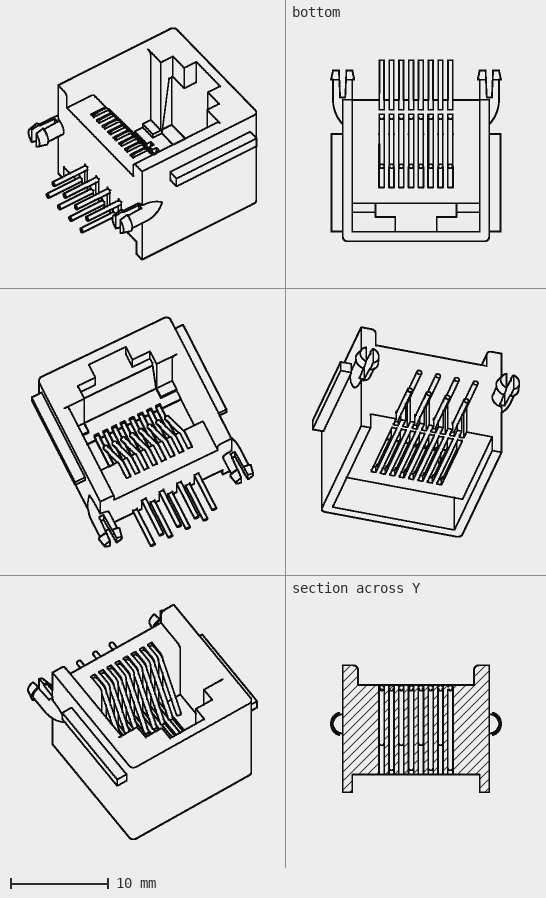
import cadquery as cq
import math


OVERALL_LENGTH = 18.57

WIDTH = 15.0
DEPTH = 14.5
HEIGHT = 13.0
BACK_CORNER_RADIUS = 0.5

CAVITY_WIDTH = 11.85
CAVITY_FRONT_Y = 3.51
CAVITY_BACK_Y = 10.47
CAVITY_LIP_RADIUS = 0.5
LEDGE_Z = 11.0
LEDGE_RADIUS = 0.48
FRONT_FLOOR_Z = 2.25
FLOOR_STEP_Y = 8.47
REAR_FLOOR_Z = 2.5
SHOULDER_Y = 9.47
SHOULDER_Z = 3.0

LATCH_WIDTH = 8.25
LATCH_BACK_Y = 11.98
TAB_WIDTH = 4.23
TAB_BACK_Y = 13.5
CATCH_HEIGHT = 3.0
CATCH_BOTTOM_Z = HEIGHT - CATCH_HEIGHT
LATCH_SPACE_WIDTH = 13.0
SPACE_TOP_Y = 11.5
FLOOR_BACK_Y = 10.6

RECESS_WIDTH = LATCH_SPACE_WIDTH
RECESS_HEIGHT = 1.8

RAIL_SIZE = 1.15
RAIL_LENGTH = 10.0
RAIL_TOP_GAP = 2.14
RAIL_BACK_GAP = 1.0

PEG_Z = 7.0
PEG_RADIUS = 1.0
PEG_LENGTH = 3.0
BARB_RADIUS = 1.2
BARB_START = 2.06
OGIVE_LENGTH = 2.5
PEG_SLIT_START = 0.25
PEG_SLIT_BASE_WIDTH = 0.5
PEG_SLIT_MOUTH_WIDTH = 0.75

CONTACT_COUNT = 8
CONTACT_PITCH = 1.0
WIRE_DIAMETER = 0.5
WIRE_RADIUS = WIRE_DIAMETER / 2
TAIL_LENGTH = OVERALL_LENGTH - DEPTH
LOWER_TAIL_Z = 2.49
UPPER_TAIL_Z = 5.05
COMB_FRONT_Y = 1.49
COMB_BACK_Y = 8.97
ENTRY_DEPTH = 1.0
ENTRY_CLEARANCE = 0.04
RISER_Y = COMB_FRONT_Y + WIRE_RADIUS
CREST_Z = LEDGE_Z - WIRE_RADIUS
CREST_END_Y = CAVITY_FRONT_Y - LEDGE_RADIUS
BEND_RADIUS = 0.43
SPRING_ANGLE = math.radians(60)
SPRING_END_Y = 7.02
FUSED_CONTACT = 0


def block(width, y_range, z_range):
    """A box centred on X = 0 that spans the given Y and Z ranges."""
    y0, y1 = y_range
    z0, z1 = z_range
    return cq.Workplane("XY").box(width, y1 - y0, z1 - z0, centered=(True, False, False)).translate((0, y0, z0))


def contact_x(index):
    return (index - (CONTACT_COUNT - 1) / 2) * CONTACT_PITCH


def tail_z(index):
    return LOWER_TAIL_Z if index % 2 == 0 else UPPER_TAIL_Z


def plug_cavity():
    front = block(CAVITY_WIDTH, (CAVITY_FRONT_Y, FLOOR_STEP_Y), (FRONT_FLOOR_Z, HEIGHT))
    middle = block(CAVITY_WIDTH, (FLOOR_STEP_Y, SHOULDER_Y), (REAR_FLOOR_Z, HEIGHT))
    rear = block(CAVITY_WIDTH, (SHOULDER_Y, CAVITY_BACK_Y), (SHOULDER_Z, HEIGHT))
    ledge_gap = block(CAVITY_WIDTH, (0, CAVITY_FRONT_Y), (LEDGE_Z, HEIGHT))
    ledge_round = (
        cq.Workplane("YZ")
        .moveTo(CAVITY_FRONT_Y, LEDGE_Z)
        .lineTo(CAVITY_FRONT_Y - LEDGE_RADIUS, LEDGE_Z)
        .radiusArc((CAVITY_FRONT_Y, LEDGE_Z - LEDGE_RADIUS), LEDGE_RADIUS)
        .close()
        .extrude(CAVITY_WIDTH / 2, both=True)
    )
    return front.union(middle).union(rear).union(ledge_gap).union(ledge_round)


def cavity_lips():
    """Cutters that round the top edges of the cavity's side walls."""
    half = CAVITY_WIDTH / 2
    lip = (
        cq.Workplane("XZ")
        .moveTo(half, HEIGHT)
        .lineTo(half + CAVITY_LIP_RADIUS, HEIGHT)
        .radiusArc((half, HEIGHT - CAVITY_LIP_RADIUS), -CAVITY_LIP_RADIUS)
        .close()
        .extrude(-CAVITY_BACK_Y)
    )
    return lip.union(lip.mirror("YZ"))


def latch_opening():
    """The stepped latch opening, and the tapered latch space that runs to the bottom."""
    upper = block(LATCH_WIDTH, (SHOULDER_Y, LATCH_BACK_Y), (CATCH_BOTTOM_Z, HEIGHT))
    lower = block(LATCH_WIDTH, (SHOULDER_Y, SPACE_TOP_Y), (REAR_FLOOR_Z, CATCH_BOTTOM_Z))
    tab = block(TAB_WIDTH, (CAVITY_BACK_Y, TAB_BACK_Y), (CATCH_BOTTOM_Z, HEIGHT))
    space = (
        cq.Workplane("YZ")
        .moveTo(TAB_BACK_Y, CATCH_BOTTOM_Z)
        .lineTo(SPACE_TOP_Y, CATCH_BOTTOM_Z)
        .lineTo(FLOOR_BACK_Y, REAR_FLOOR_Z)
        .lineTo(FLOOR_BACK_Y, 0)
        .lineTo(TAB_BACK_Y, 0)
        .close()
        .extrude(LATCH_SPACE_WIDTH / 2, both=True)
    )
    return upper.union(lower).union(tab).union(space)


def contact_slots(index):
    """The comb slot, the entry groove in the front face and the tail hole in the web between them."""
    z = tail_z(index)
    comb = block(WIRE_DIAMETER, (COMB_FRONT_Y, COMB_BACK_Y), (0, HEIGHT))
    entry = block(WIRE_DIAMETER, (0, ENTRY_DEPTH), (0, z + WIRE_RADIUS + ENTRY_CLEARANCE))
    tail_hole = cq.Workplane("XZ", origin=(0, RISER_Y, z)).circle(WIRE_RADIUS).extrude(RISER_Y)
    return comb.union(entry).union(tail_hole).translate((contact_x(index), 0, 0))


def rails():
    length = WIDTH + 2 * RAIL_SIZE
    back = DEPTH - RAIL_BACK_GAP
    top = HEIGHT - RAIL_TOP_GAP
    return block(length, (back - RAIL_LENGTH, back), (top - RAIL_SIZE, top))


def snap_peg():
    """A split barbed peg along -Y with an ogive root, on the axis X = 0, Z = 0."""
    ogive_radius = (PEG_RADIUS**2 + OGIVE_LENGTH**2) / (2 * PEG_RADIUS)
    peg = (
        cq.Workplane("XY")
        .moveTo(0, OGIVE_LENGTH)
        .radiusArc((PEG_RADIUS, 0), ogive_radius)
        .lineTo(PEG_RADIUS, -BARB_START)
        .lineTo(BARB_RADIUS, -BARB_START)
        .lineTo(PEG_RADIUS, -PEG_LENGTH)
        .lineTo(0, -PEG_LENGTH)
        .close()
        .revolve(360, (0, 0, 0), (0, 1, 0))
    )
    slit = (
        cq.Workplane("XY")
        .moveTo(-PEG_SLIT_BASE_WIDTH / 2, -PEG_SLIT_START)
        .lineTo(PEG_SLIT_BASE_WIDTH / 2, -PEG_SLIT_START)
        .lineTo(PEG_SLIT_MOUTH_WIDTH / 2, -PEG_LENGTH)
        .lineTo(-PEG_SLIT_MOUTH_WIDTH / 2, -PEG_LENGTH)
        .close()
        .extrude(BARB_RADIUS, both=True)
    )
    return peg.cut(slit)


def make_housing():
    body = block(WIDTH, (0, DEPTH), (0, HEIGHT)).edges("|Z and >Y").fillet(BACK_CORNER_RADIUS)
    body = body.union(rails())
    for side in (-1, 1):
        body = body.union(snap_peg().translate((side * WIDTH / 2, 0, PEG_Z)))
    body = body.cut(plug_cavity()).cut(cavity_lips()).cut(latch_opening())
    body = body.cut(block(RECESS_WIDTH, (0, FLOOR_BACK_Y), (0, RECESS_HEIGHT)))
    for index in range(CONTACT_COUNT):
        body = body.cut(contact_slots(index))
    return body


def make_contact(index):
    """A round wire: board tail, elbow, riser, crest over the ledge and sloping spring."""
    z = tail_z(index)
    sine = math.sin(SPRING_ANGLE)
    cosine = math.cos(SPRING_ANGLE)
    bend_y = CREST_END_Y + BEND_RADIUS * sine
    bend_z = CREST_Z - BEND_RADIUS * (1 - cosine)
    end_y = SPRING_END_Y - WIRE_RADIUS * sine
    end_z = bend_z - (end_y - bend_y) * math.tan(SPRING_ANGLE)
    path = (
        cq.Workplane("YZ")
        .moveTo(RISER_Y, z)
        .lineTo(RISER_Y, CREST_Z - BEND_RADIUS)
        .radiusArc((RISER_Y + BEND_RADIUS, CREST_Z), BEND_RADIUS)
        .lineTo(CREST_END_Y, CREST_Z)
        .radiusArc((bend_y, bend_z), BEND_RADIUS)
        .lineTo(end_y, end_z)
    )
    spring = cq.Workplane("XY", origin=(0, RISER_Y, z)).circle(WIRE_RADIUS).sweep(path)
    tail = cq.Workplane("XZ", origin=(0, RISER_Y, z)).circle(WIRE_RADIUS).extrude(RISER_Y + TAIL_LENGTH)
    elbow = cq.Workplane("XY", origin=(0, RISER_Y, z)).sphere(WIRE_RADIUS)
    return spring.union(tail).union(elbow).translate((contact_x(index), 0, 0))


housing = make_housing().union(make_contact(FUSED_CONTACT))
contacts = [make_contact(index) for index in range(CONTACT_COUNT) if index != FUSED_CONTACT]
result = cq.Compound.makeCompound([housing.val(), *[contact.val() for contact in contacts]])